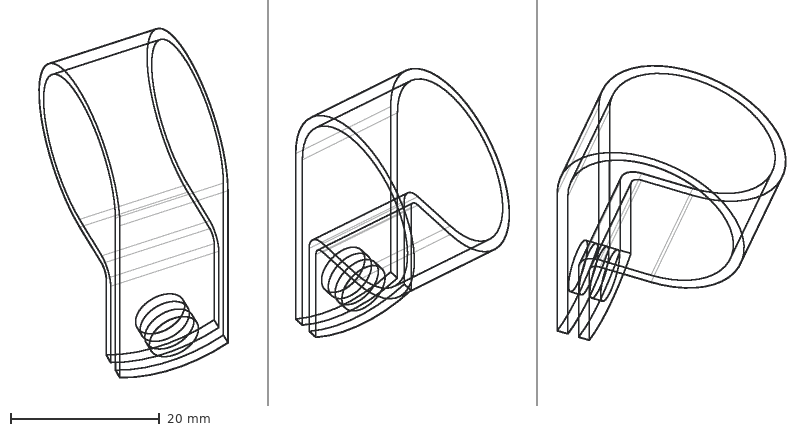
import cadquery as cq

outer_diameter = 26.85
height = 45.1
width = 15.88
thickness = 1.55
leg_gap = 1.55
bend_inner_radius = 1.5
hole_diameter = 7.2
hole_above_tip = 6.35
tip_arc_depth = 1.7

outer_radius = outer_diameter / 2
inner_radius = outer_radius - thickness
bend_outer_radius = bend_inner_radius + thickness
tip_z = outer_radius - height
long_leg_inside_x = outer_radius - thickness
short_leg_right_x = long_leg_inside_x - leg_gap
short_leg_left_x = short_leg_right_x - thickness
bend_center_x = short_leg_right_x - bend_outer_radius
bend_end_z = -inner_radius - bend_outer_radius


def make_strip():
    """Constant-thickness strap: long leg, three-quarter loop, bend and short leg."""
    return (
        cq.Workplane("XZ")
        .moveTo(outer_radius, tip_z)
        .lineTo(outer_radius, 0)
        .threePointArc((0, outer_radius), (-outer_radius, 0))
        .radiusArc((0, -outer_radius), -outer_radius)
        .lineTo(bend_center_x, -outer_radius)
        .radiusArc((short_leg_left_x, bend_end_z), bend_inner_radius)
        .lineTo(short_leg_left_x, tip_z)
        .lineTo(short_leg_right_x, tip_z)
        .lineTo(short_leg_right_x, bend_end_z)
        .radiusArc((bend_center_x, -inner_radius), -bend_outer_radius)
        .lineTo(0, -inner_radius)
        .radiusArc((-inner_radius, 0), inner_radius)
        .threePointArc((0, inner_radius), (inner_radius, 0))
        .lineTo(long_leg_inside_x, tip_z)
        .close()
        .extrude(width / 2, both=True)
    )


def make_side_envelope():
    """Side outline with the arched leg tips, spanning the whole part along X."""
    return (
        cq.Workplane("YZ")
        .moveTo(-width / 2, outer_radius)
        .lineTo(-width / 2, tip_z + tip_arc_depth)
        .threePointArc((0, tip_z), (width / 2, tip_z + tip_arc_depth))
        .lineTo(width / 2, outer_radius)
        .close()
        .extrude(outer_radius, both=True)
    )


def make_bolt_hole():
    """Cylinder along X that passes through both legs."""
    return (
        cq.Workplane("YZ")
        .center(0, tip_z + hole_above_tip)
        .circle(hole_diameter / 2)
        .extrude(outer_radius)
    )


result = make_strip().intersect(make_side_envelope()).cut(make_bolt_hole())